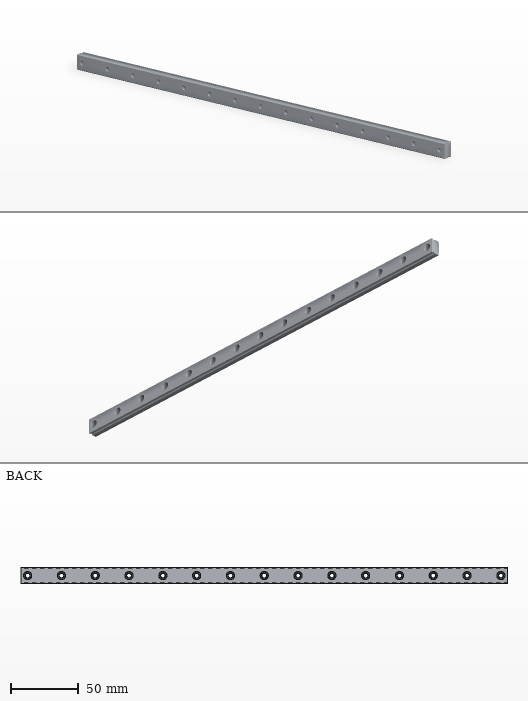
import cadquery as cq
import math

length = 360.0
height = 7.5
width = 12.0
base_chamfer = 0.5

race_radius = 1.25
race_depth = 0.8
race_below_top = 2.2

hole_diameter = 3.5
counterbore_diameter = 6.0
counterbore_depth = 4.5
hole_count = 15
end_margin = 5.0
hole_pitch = (length - 2 * end_margin) / (hole_count - 1)


def make_body():
    """Bar with its two long mounting-face edges broken."""
    bar = cq.Workplane("XY").box(length, height, width)
    return bar.faces("<Y").edges("|X").chamfer(base_chamfer)


def make_race_cutter():
    """Half-round bar for the +Z race, with two quarter-round faces that meet along its lowest line."""
    race_y = height / 2 - race_below_top
    axis_z = width / 2 + race_radius - race_depth
    floor_z = axis_z - race_radius
    diagonal = race_radius * math.sqrt(0.5)
    return (
        cq.Workplane("YZ", origin=(-length / 2, 0, 0))
        .moveTo(race_y - race_radius, axis_z)
        .threePointArc((race_y - diagonal, axis_z - diagonal), (race_y, floor_z))
        .threePointArc((race_y + diagonal, axis_z - diagonal), (race_y + race_radius, axis_z))
        .close()
        .extrude(length, clean=False)
    )


def cut_races(body):
    """Cut a race along the +Z side and its mirror image along the -Z side."""
    race = make_race_cutter()
    return body.cut(race, clean=False).cut(race.mirror("XY"), clean=False)


def cut_mounting_holes(body):
    """Drill the row of through holes, counterbored from the +Y face."""
    return (
        body.faces(">Y")
        .workplane(centerOption="CenterOfBoundBox")
        .rarray(hole_pitch, 1, hole_count, 1)
        .cboreHole(hole_diameter, counterbore_diameter, counterbore_depth, clean=False)
    )


result = cut_mounting_holes(cut_races(make_body()))